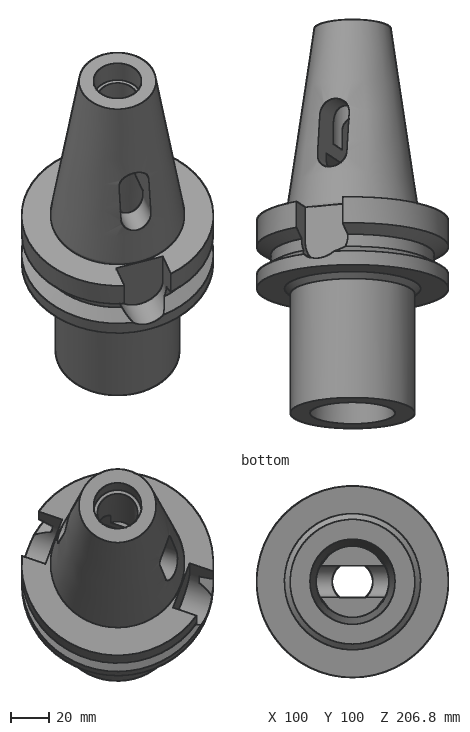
import cadquery as cq
import math

NOSE_LENGTH = 105.0
TAPER_LENGTH = 101.8
GAUGE_RADIUS = 69.85 / 2
TAPER_SLOPE = 7 / 24 / 2
TOTAL_HEIGHT = NOSE_LENGTH + TAPER_LENGTH
SHANK_TOP_RADIUS = GAUGE_RADIUS - TAPER_LENGTH * TAPER_SLOPE

FLANGE_RADIUS = 50.0
FLANGE_TOP = NOSE_LENGTH - 1.5
FLANGE_BOTTOM = NOSE_LENGTH - 38.0
GROOVE_CENTER = NOSE_LENGTH - 23.0
GROOVE_ROOT_RADIUS = 42.6
GROOVE_ROOT_WIDTH = 6.5
GROOVE_FLANK_ANGLE = 30.0

BODY_RADIUS = 65.0 / 2
NECK_SIZE = 3.0

DRIVE_SLOT_WIDTH = 25.7
DRIVE_SLOT_FLOOR_X = 35.3
DRIVE_SLOT_BOTTOM = 71.4

SOCKET_MOUTH_RADIUS = 44.399 / 2
SOCKET_SLOPE = 0.05263 / 2
SOCKET_DEPTH = 136.5
CROSS_SLOT_WIDTH = 16.4
CROSS_SLOT_LENGTH = 38.0
CROSS_SLOT_BOTTOM = 125.0

ENTRY_RADIUS = 25.0 / 2
ENTRY_DEPTH = 13.0
PILOT_RADIUS = 21.0 / 2
PILOT_BOTTOM = CROSS_SLOT_BOTTOM + CROSS_SLOT_LENGTH / 2


def make_body():
    """Revolve the outer profile: body, neck, grooved flange and taper shank."""
    half_root = GROOVE_ROOT_WIDTH / 2
    flank_angle = math.radians(GROOVE_FLANK_ANGLE)
    flank_height = (FLANGE_RADIUS - GROOVE_ROOT_RADIUS) * math.tan(flank_angle)
    half_mouth = half_root + flank_height
    profile = [
        (0, 0),
        (BODY_RADIUS, 0),
        (BODY_RADIUS, FLANGE_BOTTOM - NECK_SIZE),
        (BODY_RADIUS + NECK_SIZE, FLANGE_BOTTOM),
        (FLANGE_RADIUS, FLANGE_BOTTOM),
        (FLANGE_RADIUS, GROOVE_CENTER - half_mouth),
        (GROOVE_ROOT_RADIUS, GROOVE_CENTER - half_root),
        (GROOVE_ROOT_RADIUS, GROOVE_CENTER + half_root),
        (FLANGE_RADIUS, GROOVE_CENTER + half_mouth),
        (FLANGE_RADIUS, FLANGE_TOP),
        (GAUGE_RADIUS, FLANGE_TOP),
        (GAUGE_RADIUS, NOSE_LENGTH),
        (SHANK_TOP_RADIUS, TOTAL_HEIGHT),
        (0, TOTAL_HEIGHT),
    ]
    return cq.Workplane("YZ").polyline(profile).close().revolve(360, (0, 0), (0, 1))


def make_bore():
    """Revolve the inner profile: Morse socket from below, stepped hole from above."""
    socket_end_radius = SOCKET_MOUTH_RADIUS - SOCKET_DEPTH * SOCKET_SLOPE
    socket_profile = [
        (0, 0),
        (SOCKET_MOUTH_RADIUS, 0),
        (socket_end_radius, SOCKET_DEPTH),
        (0, SOCKET_DEPTH),
    ]
    socket = cq.Workplane("YZ").polyline(socket_profile).close().revolve(360, (0, 0), (0, 1))
    top = cq.Workplane("XY").workplane(offset=TOTAL_HEIGHT)
    entry = top.circle(ENTRY_RADIUS).extrude(-ENTRY_DEPTH)
    pilot = top.circle(PILOT_RADIUS).extrude(PILOT_BOTTOM - TOTAL_HEIGHT)
    return socket.union(entry).union(pilot)


def make_cross_slot():
    """Round-ended slot running through the shank along X."""
    return (
        cq.Workplane("YZ")
        .center(0, CROSS_SLOT_BOTTOM + CROSS_SLOT_LENGTH / 2)
        .slot2D(CROSS_SLOT_LENGTH, CROSS_SLOT_WIDTH, 90)
        .extrude(GAUGE_RADIUS, both=True)
    )


def make_drive_slot(side):
    """Round-bottomed slot in the flange, open at the top, on the +X or -X side."""
    half_width = DRIVE_SLOT_WIDTH / 2
    arc_center_z = DRIVE_SLOT_BOTTOM + half_width
    depth = FLANGE_RADIUS - DRIVE_SLOT_FLOOR_X
    return (
        cq.Workplane("YZ", origin=(side * DRIVE_SLOT_FLOOR_X, 0, 0))
        .moveTo(-half_width, FLANGE_TOP)
        .lineTo(-half_width, arc_center_z)
        .threePointArc((0, DRIVE_SLOT_BOTTOM), (half_width, arc_center_z))
        .lineTo(half_width, FLANGE_TOP)
        .close()
        .extrude(side * depth)
    )


result = make_body().cut(make_bore()).cut(make_cross_slot())
for side in (-1, 1):
    result = result.cut(make_drive_slot(side))